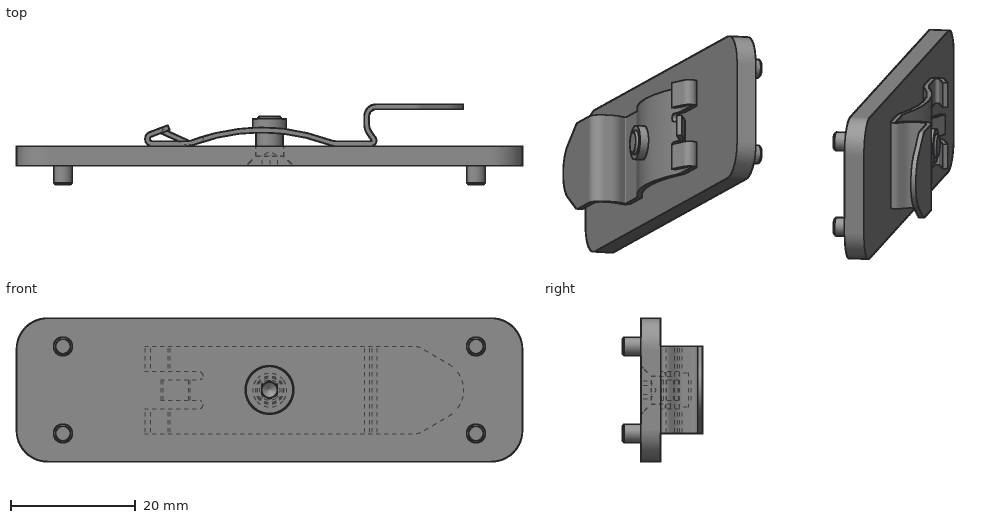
import cadquery as cq
import math


plate_length = 81.0
plate_height = 23.0
plate_thickness = 3.15
plate_corner_radius = 5.0

pin_diameter = 3.0
pin_length = 3.0
pin_chamfer = 0.3
pin_offset_x = 33.05
pin_offset_z = 7.0

shank_diameter = 4.4
screw_head_diameter = 7.5
socket_sides = 6
socket_width = 2.5
socket_depth = 1.6
socket_tip_angle = 118.0
collar_diameter = 5.4
collar_top = 4.4
tip_diameter = 4.0
tip_end_diameter = 3.2
tip_top = 4.8

countersink_diameter = 7.8
bore_diameter = 4.5
countersink_depth = (countersink_diameter - bore_diameter) / 2

strip_thickness = 0.8
strip_width = 14.0
strip_middle = strip_thickness / 2
bow_center_x = -1.3
bow_half_span = 12.15
bow_height = 3.0
bow_end_radius = 4.05
bow_left_x = bow_center_x - bow_half_span
bow_right_x = bow_center_x + bow_half_span

hook_wall_x = -19.5
hook_bend_height = 1.7
hook_tip = (-16.1, 3.0)
hook_bend_radius = 0.7

foot_x = 17.2
wall_x = 15.55
wall_kink_height = 2.75
foot_bend_radius = 0.5
kink_radius = 2.4
arm_bend_radius = 1.5
arm_top = 6.7
arm_end_x = 31.0
arm_nose_radius = 4.9
arm_taper_angle = 30.0
arm_shoulder_radius = 2.4

tongue_width = 3.2
tongue_tip = (-17.25, 2.4)
tongue_root_x = -12.8
window_width = 6.0
window_end_x = -10.7


def rod(diameter, y_start, y_end, end_diameter=None):
    """Solid along Y on the screw axis: a cylinder, or a cone if the end diameter differs."""
    if end_diameter is None:
        end_diameter = diameter
    profile = [(0, y_start), (diameter / 2, y_start), (end_diameter / 2, y_end), (0, y_end)]
    return cq.Workplane("XY").polyline(profile).close().revolve(360, (0, 0), (0, 1))


def cone(base_diameter, y_base, depth):
    """Pointed cone on the screw axis, with its tip towards +Y."""
    profile = [(0, y_base), (base_diameter / 2, y_base), (0, y_base + depth)]
    return cq.Workplane("XY").polyline(profile).close().revolve(360, (0, 0), (0, 1))


def strip_section(start, direction, width=strip_width):
    """Cross-section of the strip at its start point, square to the given XY direction."""
    plane = cq.Plane(origin=(*start, 0), xDir=(0, 0, 1), normal=(*direction, 0))
    return cq.Workplane(plane).rect(width, strip_thickness)


def bent_strip(points, bend_radii, width=strip_width):
    """Strip whose mid-line follows the points, with one mid-line bend radius per inner point."""
    path = cq.Workplane("XY").moveTo(*points[0])
    for before, corner, after, radius in zip(points, points[1:], points[2:], bend_radii):
        corner, inward, outward = cq.Vector(*corner), cq.Vector(*before), cq.Vector(*after)
        inward = (inward - corner).normalized()
        outward = (outward - corner).normalized()
        half_angle = inward.getAngle(outward) / 2
        tangent_length = radius / math.tan(half_angle)
        to_middle = radius / math.sin(half_angle) - radius
        start = corner + inward * tangent_length
        middle = corner + (inward + outward).normalized() * to_middle
        end = corner + outward * tangent_length
        path = path.lineTo(start.x, start.y)
        path = path.threePointArc((middle.x, middle.y), (end.x, end.y))
    path = path.lineTo(*points[-1])
    direction = cq.Vector(*points[1]) - cq.Vector(*points[0])
    return strip_section(points[0], direction.toTuple()[:2], width).sweep(path)


def make_plate():
    plate = (
        cq.Workplane("XZ")
        .rect(plate_length, plate_height)
        .extrude(plate_thickness)
        .edges("|Y")
        .fillet(plate_corner_radius)
    )
    front = -plate_thickness
    pins = (
        cq.Workplane("XZ", origin=(0, front, 0))
        .rect(2 * pin_offset_x, 2 * pin_offset_z, forConstruction=True)
        .vertices()
        .circle(pin_diameter / 2)
        .extrude(pin_length)
        .faces("<Y")
        .chamfer(pin_chamfer)
    )
    countersink = rod(countersink_diameter, front, front + countersink_depth, bore_diameter)
    return plate.union(pins).cut(rod(bore_diameter, front, 0)).cut(countersink)


def make_bow():
    """Arched middle of the strip, blended at both ends into the stretches that lie on the plate."""
    rise = bow_height - strip_thickness
    radius_sum = (bow_half_span**2 + rise**2) / (2 * rise)
    half_angle = math.asin(bow_half_span / radius_sum)

    def bow_point(angle):
        radius = radius_sum - bow_end_radius
        drop = radius * (1 - math.cos(angle))
        return (bow_center_x + radius * math.sin(angle), strip_middle + rise - drop)

    def end_point(side, angle):
        x = bow_center_x + side * (bow_half_span - bow_end_radius * math.sin(angle))
        return (x, strip_middle + bow_end_radius * (1 - math.cos(angle)))

    path = (
        cq.Workplane("XY")
        .moveTo(bow_left_x, strip_middle)
        .threePointArc(end_point(-1, half_angle / 2), bow_point(-half_angle))
        .threePointArc(bow_point(0), bow_point(half_angle))
        .threePointArc(end_point(1, half_angle / 2), (bow_right_x, strip_middle))
    )
    return strip_section((bow_left_x, strip_middle), (1, 0)).sweep(path)


def make_window():
    """Cutter that splits the hook into two legs; round slot ends leave room for the tongue."""
    slot_width = (window_width - tongue_width) / 2
    slot_end_center = window_end_x - slot_width / 2
    left_x = hook_wall_x - strip_thickness
    window = cq.Workplane("XY").box(
        tongue_root_x - left_x, arm_top, window_width, centered=(False, False, True)
    ).translate((left_x, 0, 0))
    for side in (-1, 1):
        slot_z = side * (tongue_width + slot_width) / 2
        slot = cq.Workplane("XY").box(
            slot_end_center - left_x, arm_top, slot_width, centered=(False, False, True)
        ).translate((left_x, 0, slot_z))
        round_end = rod(slot_width, 0, arm_top).translate((slot_end_center, 0, slot_z))
        window = window.union(slot).union(round_end)
    return window


def make_arm_outline():
    """Plan of the clip around its arm: straight sides, a taper and a full round nose."""
    taper = math.radians(arm_taper_angle)
    nose_center_x = arm_end_x - arm_nose_radius
    tangent_x = nose_center_x + arm_nose_radius * math.sin(taper)
    tangent_z = arm_nose_radius * math.cos(taper)
    half_width = strip_width / 2
    shoulder_x = tangent_x - (half_width - tangent_z) / math.tan(taper)
    outline = (
        cq.Workplane("XZ")
        .moveTo(bow_right_x, -half_width)
        .lineTo(shoulder_x, -half_width)
        .lineTo(tangent_x, -tangent_z)
        .threePointArc((arm_end_x, 0), (tangent_x, tangent_z))
        .lineTo(shoulder_x, half_width)
        .lineTo(bow_right_x, half_width)
        .close()
        .extrude(-arm_top)
    )
    shoulder_edges = [(shoulder_x, arm_top / 2, side * half_width) for side in (-1, 1)]
    for edge_middle in shoulder_edges:
        nearest = cq.selectors.NearestToPointSelector(edge_middle)
        outline = outline.edges("|Y").edges(nearest).fillet(arm_shoulder_radius)
    return outline


def make_screw():
    front = -plate_thickness
    head_depth = (screw_head_diameter - shank_diameter) / 2
    socket_corner_diameter = socket_width / math.cos(math.pi / socket_sides)
    cone_depth = socket_width / 2 / math.tan(math.radians(socket_tip_angle / 2))
    head = rod(screw_head_diameter, front, front + head_depth, shank_diameter)
    shank = rod(shank_diameter, front, bow_height)
    collar = rod(collar_diameter, bow_height - strip_middle, collar_top)
    tip = rod(tip_diameter, collar_top, tip_top, tip_end_diameter)
    socket = (
        cq.Workplane("XZ", origin=(0, front, 0))
        .polygon(socket_sides, socket_corner_diameter)
        .extrude(-socket_depth)
        .rotate((0, 0, 0), (0, 1, 0), 180 / socket_sides)
    )
    socket_end = front + socket_depth
    socket_tip = cone(socket_width, socket_end, cone_depth)
    return head.union(shank).union(collar).union(tip).cut(socket).cut(socket_tip)


def make_clip():
    """Spring clip held by its screw, as one solid."""
    hook = bent_strip(
        [
            (bow_left_x, strip_middle),
            (hook_wall_x, strip_middle),
            (hook_wall_x, hook_bend_height),
            hook_tip,
        ],
        [hook_bend_radius, hook_bend_radius],
    )
    arm_middle = arm_top - strip_middle
    arm = bent_strip(
        [
            (bow_right_x, strip_middle),
            (foot_x, strip_middle),
            (wall_x, wall_kink_height),
            (wall_x, arm_middle),
            (arm_end_x, arm_middle),
        ],
        [foot_bend_radius, kink_radius, arm_bend_radius],
    ).intersect(make_arm_outline())
    tongue = bent_strip([(tongue_root_x, strip_middle), tongue_tip], [], tongue_width)
    legs = make_bow().union(hook).cut(make_window())
    return legs.union(arm).union(tongue).union(make_screw())


plate = make_plate()
clip = make_clip()
result = cq.Compound.makeCompound([plate.solids().val(), clip.solids().val()])